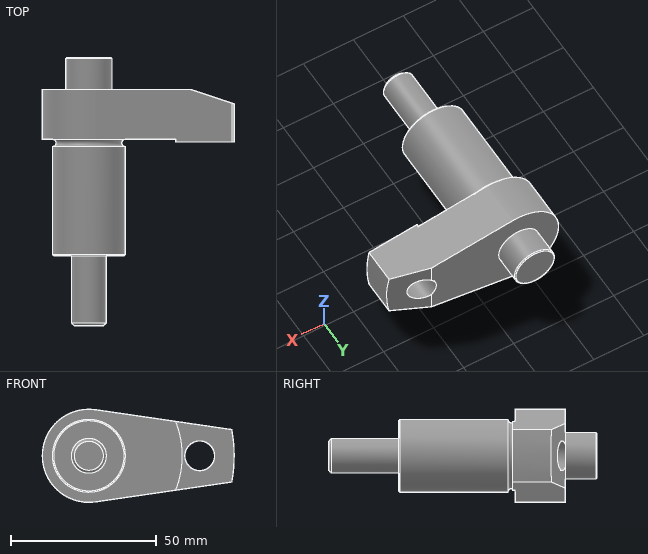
import cadquery as cq
import math

hub_diameter = 32.0
hub_width = 17.2
overall_length = 92.0
rear_pin_diameter = 16.0
rear_pin_length = 10.9
rear_pin_chamfer = 0.4
body_diameter = 25.0
body_length = 37.5
body_chamfer = 0.5
front_pin_diameter = 12.0
front_pin_chamfer = 1.0
neck_width = 2.4

arm_reach = 49.9
side_angle = math.radians(8.3)
bevel_start = 34.9
bevel_depth = 5.0
pad_inner_radius = 32.0
pad_height = 0.9
hole_diameter = 10.1
hole_distance = 38.0

hub_radius = hub_diameter / 2
body_radius = body_diameter / 2
rear_end = hub_width + rear_pin_length
front_end = rear_end - overall_length
body_rear = -neck_width
body_front = body_rear - body_length


def cylinder(diameter, y_start, y_end, x=0.0):
    """Cylinder along Y from y_start up to y_end."""
    return (
        cq.Workplane("XZ", origin=(x, y_start, 0))
        .circle(diameter / 2)
        .extrude(y_start - y_end)
    )


def make_shaft():
    """Hub, neck, body and end pins, revolved about Y from one half profile."""
    rear_pin_radius = rear_pin_diameter / 2
    front_pin_radius = front_pin_diameter / 2
    return (
        cq.Workplane("XY")
        .moveTo(0, rear_end)
        .lineTo(rear_pin_radius - rear_pin_chamfer, rear_end)
        .lineTo(rear_pin_radius, rear_end - rear_pin_chamfer)
        .lineTo(rear_pin_radius, hub_width)
        .lineTo(hub_radius, hub_width)
        .lineTo(hub_radius, 0)
        .lineTo(body_radius, 0)
        .threePointArc((body_radius - neck_width / 2, body_rear / 2), (body_radius, body_rear))
        .lineTo(body_radius, body_front + body_chamfer)
        .lineTo(body_radius - body_chamfer, body_front)
        .lineTo(front_pin_radius, body_front)
        .lineTo(front_pin_radius, front_end + front_pin_chamfer)
        .lineTo(front_pin_radius - front_pin_chamfer, front_end)
        .lineTo(0, front_end)
        .close()
        .revolve(360, (0, 0, 0), (0, 1, 0))
    )


def make_arm():
    """Arm with sides tangent to the hub, an end arc about the shaft axis and a raised pad."""
    tangent_x = hub_radius * math.sin(side_angle)
    tangent_z = hub_radius * math.cos(side_angle)
    corner_angle = math.pi / 2 - side_angle - math.acos(hub_radius / arm_reach)
    corner_x = arm_reach * math.cos(corner_angle)
    corner_z = arm_reach * math.sin(corner_angle)
    arm = (
        cq.Workplane("XZ", origin=(0, -pad_height, 0))
        .moveTo(0, -tangent_z)
        .lineTo(tangent_x, -tangent_z)
        .lineTo(corner_x, -corner_z)
        .threePointArc((arm_reach, 0), (corner_x, corner_z))
        .lineTo(tangent_x, tangent_z)
        .lineTo(0, tangent_z)
        .close()
        .extrude(-(hub_width + pad_height))
    )
    arm = arm.cut(cylinder(2 * pad_inner_radius, -pad_height, 0))
    bevel = (
        cq.Workplane("XY")
        .moveTo(bevel_start, hub_width)
        .lineTo(arm_reach, hub_width - bevel_depth)
        .lineTo(arm_reach, hub_width)
        .close()
        .extrude(hub_radius, both=True)
    )
    hole = cylinder(hole_diameter, -pad_height, hub_width, x=hole_distance)
    return arm.cut(bevel).cut(hole)


result = make_shaft().union(make_arm())